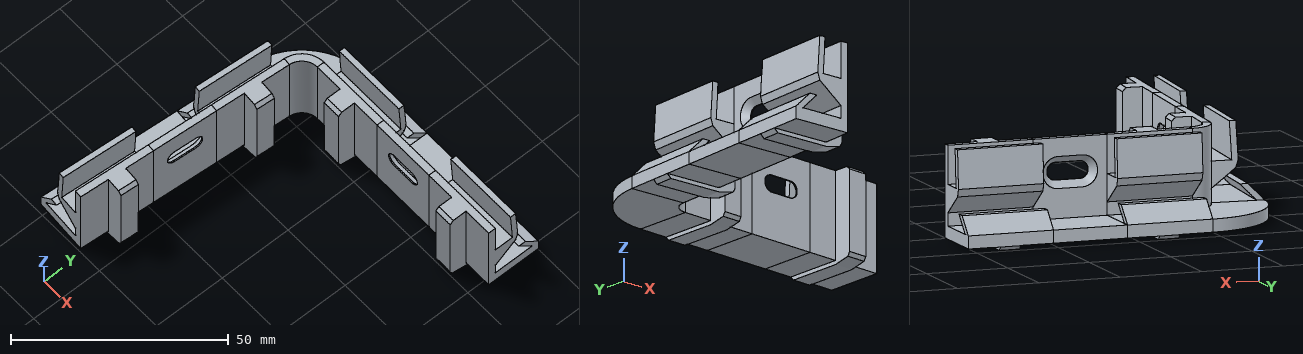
import cadquery as cq
import math

overall_length = 84.1
arm_angle = 93.95
turn = 180.0 - arm_angle
arm_tilt = math.radians(arm_angle - 90.0)

section_depth = 15.2
section_height = 22.0
floor_thickness = 3.1
wall_thickness = 2.0
wall_outer_depth = section_depth - wall_thickness
corner_inner_radius = 4.7
corner_outer_radius = corner_inner_radius + section_depth
wall_outer_radius = corner_inner_radius + wall_thickness

arm_length = (overall_length - corner_outer_radius * math.cos(arm_tilt)) / (1 + math.sin(arm_tilt))
plate_length = 18.15
clip_length = (arm_length - plate_length) / 2
near_clip_place = clip_length / 2
plate_place = arm_length / 2
far_clip_place = arm_length - clip_length / 2

lip_rise = 4.0
lip_width = 2.0

shelf_root = 6.2
shelf_top = 12.9
fin_bend = 11.0
fin_bend_depth = 7.0
fin_outer_depth = 6.4
fin_inner_depth = 8.0
fin_top_outer_depth = 7.0
fin_top_inner_depth = 8.6

hook_width = 5.05
hook_reach = 4.8
hook_top_chamfer = 0.9
hook_nose_depth = 0.6
hook_nose_height = 1.0
hook_underside = -0.1
rib_drop = 1.0

slot_length = 10.1
slot_width = 4.1
slot_height = 13.9
slot_throat = 0.3
slot_flare = 1.7


def extruded_along_arm(outline, length):
    """Extrude (depth, height) points along X, centred on X = 0, with depth running towards -Y."""
    points = [(corner_outer_radius - depth, height) for depth, height in outline]
    return cq.Workplane("YZ").polyline(points).close().extrude(length / 2, both=True)


def make_corner():
    """Floor and wall swept around the corner centre, which is the origin."""
    outline = [
        (corner_inner_radius, 0),
        (corner_outer_radius, 0),
        (corner_outer_radius, floor_thickness),
        (wall_outer_radius, floor_thickness),
        (wall_outer_radius, section_height),
        (corner_inner_radius, section_height),
    ]
    swept = cq.Workplane("XZ").polyline(outline).close().revolve(turn, (0, 0), (0, -1))
    return swept.rotate((0, 0, 0), (0, 0, 1), 90 + turn)


def make_clip():
    """Clip section with lip, shelf and fin outside, and the hook and its rib inside and below."""
    rail = extruded_along_arm(
        [
            (0, 0),
            (0, floor_thickness),
            (lip_rise, floor_thickness + lip_rise),
            (lip_rise + lip_width, floor_thickness + lip_rise),
            (lip_width, floor_thickness),
            (wall_outer_depth, floor_thickness),
            (wall_outer_depth, shelf_root),
            (fin_bend_depth, fin_bend),
            (fin_outer_depth, shelf_top),
            (fin_top_outer_depth, section_height),
            (fin_top_inner_depth, section_height),
            (fin_inner_depth, shelf_top),
            (wall_outer_depth, shelf_top),
            (wall_outer_depth, section_height),
            (section_depth, section_height),
            (section_depth, 0),
        ],
        clip_length,
    )
    tip_depth = section_depth + hook_reach
    hook = extruded_along_arm(
        [
            (0, 0),
            (rib_drop, -rib_drop),
            (section_depth, -rib_drop),
            (tip_depth - hook_nose_depth, hook_underside),
            (tip_depth, hook_underside + hook_nose_height),
            (tip_depth, section_height - hook_top_chamfer),
            (tip_depth - hook_top_chamfer, section_height),
            (section_depth, section_height),
            (section_depth, 0),
        ],
        hook_width,
    )
    return rail.union(hook)


def make_plate():
    """Plain section whose wall carries a slot countersunk from the outer side."""
    plate = extruded_along_arm(
        [
            (0, 0),
            (0, floor_thickness),
            (wall_outer_depth, floor_thickness),
            (wall_outer_depth, section_height),
            (section_depth, section_height),
            (section_depth, 0),
        ],
        plate_length,
    )
    flare_depth = wall_thickness - slot_throat
    flare_angle = math.degrees(math.atan(slot_flare / flare_depth))
    throat = (
        cq.Workplane("XZ", origin=(0, corner_inner_radius, slot_height))
        .slot2D(slot_length, slot_width)
        .extrude(-slot_throat)
    )
    countersink = (
        cq.Workplane("XZ", origin=(0, corner_inner_radius + slot_throat, slot_height))
        .slot2D(slot_length, slot_width)
        .extrude(-flare_depth, taper=-flare_angle)
    )
    return plate.cut(throat).cut(countersink)


def on_both_arms(body, place):
    """Copies of a body, its middle at the given distance from the corner, one on each arm."""
    straight_copy = body.translate((place, 0, 0))
    tilted_copy = body.translate((-place, 0, 0)).rotate((0, 0, 0), (0, 0, 1), turn)
    return [straight_copy.val(), tilted_copy.val()]


corner = make_corner()

clips = []
for clip_place in (near_clip_place, far_clip_place):
    clips += on_both_arms(make_clip(), clip_place)

plates = on_both_arms(make_plate(), plate_place)

result = cq.Compound.makeCompound([corner.val(), *clips, *plates])